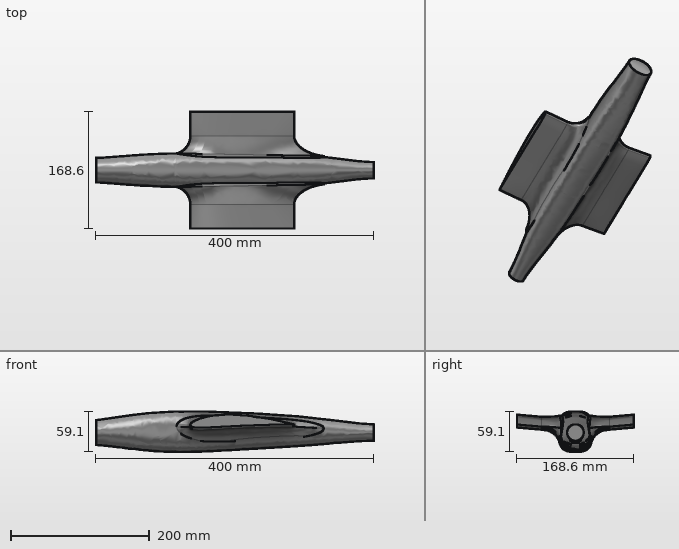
import cadquery as cq
import math

FUSELAGE_STATIONS = [
    (-200.0, 18.0, 18.0, -18.0, 2.0),
    (-150.0, 21.4, 25.2, -23.6, 2.3),
    (-95.0, 24.2, 30.3, -27.9, 2.8),
    (-30.0, 24.6, 30.3, -26.8, 2.8),
    (50.0, 24.0, 26.6, -22.2, 2.6),
    (130.0, 19.0, 19.4, -16.6, 2.3),
    (200.0, 12.0, 12.0, -12.0, 2.0),
]
SECTION_POINTS = 32

SPAN = 168.56
HALF_SPAN = SPAN / 2
CHORD = 150.0
LEADING_EDGE_X = -64.5
TIP_Z = 10.9
DIHEDRAL = 5.0
INCIDENCE = 0.3
PANEL_LENGTH = 35.0
WING_ROOT_Y = HALF_SPAN - PANEL_LENGTH

CAMBER = 0.043
CAMBER_POSITION = 0.4
THICKNESS = 0.115
ROOT_TERM = 0.2969
POWER_TERMS = [-0.1260, -0.3516, 0.2843, -0.1036]
THICKNESS_SCALE = 5.0
OUTLINE_STEPS = 16

FOOT_NOSE_X = -84.5
FOOT_TAIL_X = 128.0
FOOT_NOSE_Y = 24.2
FOOT_TAIL_Y = 20.5
FOOT_NOSE_Z = 8.0
FOOT_TAIL_Z = 6.0
FOOT_RISE = 20.0
FOOT_DEPTH = 24.0
FOOT_TAPER = 0.45
FOOT_BURIED_LENGTH = 14.0

FAIRING_STEPS = 5
FAIRING_TURN = math.radians(78)


def fuselage_section(half_width, top, bottom, exponent):
    """Points of a superellipse as (y, z), starting at the top."""
    middle = (top + bottom) / 2
    half_height = (top - bottom) / 2
    points = []
    for i in range(SECTION_POINTS):
        angle = 2 * math.pi * i / SECTION_POINTS
        c = math.cos(angle)
        s = math.sin(angle)
        radius = (abs(c) ** exponent + abs(s) ** exponent) ** (-1 / exponent)
        points.append((half_width * radius * s, middle + half_height * radius * c))
    return points


def make_fuselage():
    wires = []
    for x, half_width, top, bottom, exponent in FUSELAGE_STATIONS:
        section = fuselage_section(half_width, top, bottom, exponent)
        points = [cq.Vector(x, y, z) for y, z in section]
        wires.append(cq.Wire.assembleEdges([cq.Edge.makeSpline(points, periodic=True)]))
    return cq.Workplane(obj=cq.Solid.makeLoft(wires))


def outline_angles():
    """Angles running from the trailing edge over the top, round the nose and back below."""
    return [math.pi * (1 - i / OUTLINE_STEPS) for i in range(2 * OUTLINE_STEPS)]


def chord_fraction(angle):
    """Distance behind the nose of an outline, as a fraction of its length."""
    return (1 - math.cos(angle)) / 2


def airfoil_point(angle, y):
    """Point of the four-digit airfoil at span position y; negative angles lie below."""
    s = chord_fraction(angle)
    thickness_law = ROOT_TERM * math.sqrt(s)
    for power, term in enumerate(POWER_TERMS, start=1):
        thickness_law += term * s**power
    half_thickness = THICKNESS_SCALE * THICKNESS * thickness_law
    reach = CAMBER_POSITION if s < CAMBER_POSITION else 1 - CAMBER_POSITION
    camber_line = CAMBER * (1 - ((s - CAMBER_POSITION) / reach) ** 2)
    height = camber_line + math.copysign(half_thickness, angle)
    x = LEADING_EDGE_X + CHORD * s
    nose_z = TIP_Z - (HALF_SPAN - y) * math.tan(math.radians(DIHEDRAL))
    z = nose_z + CHORD * (height + s * math.tan(math.radians(INCIDENCE)))
    return cq.Vector(x, y, z)


def foot_point(angle):
    """Point of the blunt, rearward tapering outline where the fairing meets the fuselage."""
    s = chord_fraction(angle)
    x = FOOT_NOSE_X + (FOOT_TAIL_X - FOOT_NOSE_X) * s
    y = FOOT_NOSE_Y + (FOOT_TAIL_Y - FOOT_NOSE_Y) * s
    axis_z = FOOT_NOSE_Z + (FOOT_TAIL_Z - FOOT_NOSE_Z) * s
    half_height = FOOT_RISE if angle > 0 else FOOT_DEPTH
    roundness = math.sin(angle) * math.sqrt(1 + math.cos(angle) ** 2)
    return cq.Vector(x, y, axis_z + half_height * (1 - FOOT_TAPER * s) * roundness)


def closed_outline(points):
    """Wire through the points, made of an upper and a lower curve meeting at nose and tail."""
    upper = cq.Edge.makeSpline(points[: OUTLINE_STEPS + 1])
    lower = cq.Edge.makeSpline(points[OUTLINE_STEPS:] + points[:1])
    return cq.Wire.assembleEdges([upper, lower])


def airfoil_wire(y):
    return closed_outline([airfoil_point(angle, y) for angle in outline_angles()])


def fairing_wire(turn):
    """Fairing outline; turn runs from 0 at the wing root to FAIRING_TURN at the foot."""
    flare = (1 - math.cos(turn)) / (1 - math.cos(FAIRING_TURN))
    sink = math.sin(turn) / math.sin(FAIRING_TURN)
    points = []
    for angle in outline_angles():
        root = airfoil_point(angle, WING_ROOT_Y)
        foot = foot_point(angle)
        x = root.x + flare * (foot.x - root.x)
        y = root.y + sink * (foot.y - root.y)
        z = root.z + flare * (foot.z - root.z)
        points.append(cq.Vector(x, y, z))
    return closed_outline(points)


def make_panel():
    wires = [airfoil_wire(WING_ROOT_Y), airfoil_wire(HALF_SPAN)]
    return cq.Workplane(obj=cq.Solid.makeLoft(wires, True))


def make_fairing():
    """Flare from the wing root to the foot, with the foot carried on into the fuselage."""
    wires = [fairing_wire(FAIRING_TURN * i / FAIRING_STEPS) for i in range(FAIRING_STEPS + 1)]
    flare = cq.Workplane(obj=cq.Solid.makeLoft(wires))
    outward = cq.Vector(0, FOOT_BURIED_LENGTH, 0)
    buried_end = fairing_wire(FAIRING_TURN).translate(-outward)
    buried = cq.Workplane(obj=cq.Solid.extrudeLinear(buried_end, [], outward))
    return flare.union(buried)


left_wing = make_panel().union(make_fairing())
right_wing = left_wing.mirror("XZ")
result = make_fuselage().union(left_wing).union(right_wing)